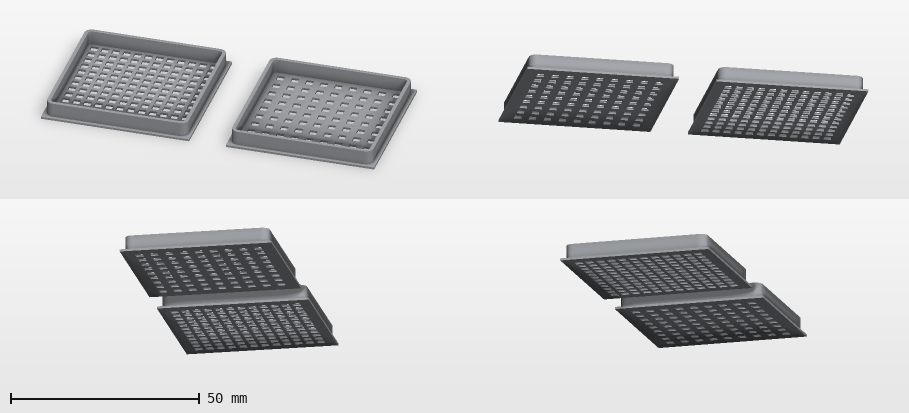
import cadquery as cq

overall_length = 91.9
plate_side = 40.9
tray_offset = (overall_length - plate_side) / 2

total_height = 4.6
plate_thickness = 0.6

wall_side = 39.0
wall_thickness = 1.0
wall_corner_radius = 2.0

opening_side = 2.0
fine_openings_per_row = 12
fine_mesh_span = 35.0
coarse_openings_per_row = 9
coarse_mesh_span = 34.0


def rounded_square_prism(side, corner_radius, height):
    """Square prism with rounded vertical edges, standing on the plate's top face."""
    return (
        cq.Workplane("XY")
        .workplane(offset=plate_thickness)
        .rect(side, side)
        .extrude(height)
        .edges("|Z")
        .fillet(corner_radius)
    )


def wall_frame():
    """Rounded square wall of constant thickness, open at the top."""
    wall_height = total_height - plate_thickness
    outside = rounded_square_prism(wall_side, wall_corner_radius, wall_height)
    inside = rounded_square_prism(
        wall_side - 2 * wall_thickness,
        wall_corner_radius - wall_thickness,
        wall_height,
    )
    return outside.cut(inside)


def mesh_plate(openings_per_row, mesh_span):
    """Square base plate pierced by a square grid; the span is between outermost opening edges."""
    pitch = (mesh_span - opening_side) / (openings_per_row - 1)
    return (
        cq.Workplane("XY")
        .rect(plate_side, plate_side)
        .extrude(plate_thickness)
        .faces(">Z")
        .workplane()
        .rarray(pitch, pitch, openings_per_row, openings_per_row)
        .rect(opening_side, opening_side)
        .cutThruAll()
    )


def mesh_tray(openings_per_row, mesh_span):
    """One tray: a mesh plate and the wall around its openings, as a single solid."""
    return mesh_plate(openings_per_row, mesh_span).union(wall_frame())


fine_tray = mesh_tray(fine_openings_per_row, fine_mesh_span).translate((-tray_offset, 0, 0))
coarse_tray = mesh_tray(coarse_openings_per_row, coarse_mesh_span).translate((tray_offset, 0, 0))

result = cq.Compound.makeCompound([fine_tray.val(), coarse_tray.val()])